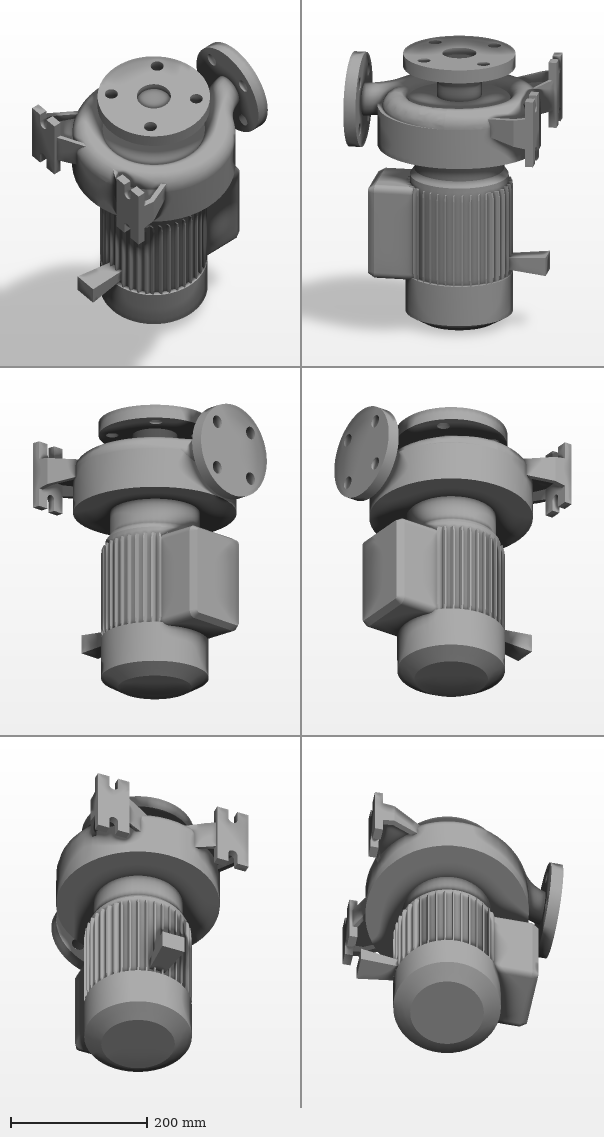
import cadquery as cq
import math


inlet_face_z = 80.0
inlet_flange_dia = 165.0
inlet_flange_thickness = 20.0
inlet_bolt_circle_dia = 125.0
inlet_bolt_hole_dia = 19.0
inlet_pipe_dia = 66.0
inlet_bore_dia = 50.0
inlet_bore_depth = 10.0

discharge_face_y = 160.0
discharge_flange_dia = 140.0
discharge_flange_thickness = 18.0
discharge_bolt_circle_dia = 100.0
discharge_bolt_hole_dia = 19.0

flange_bolt_count = 4
first_bolt_angle = 45.0

casing_radius = 120.0
casing_bottom_z = -60.0
volute_tube_radius = 24.0
volute_ring_radius = casing_radius - volute_tube_radius
front_cover_radius = 75.0
front_cover_slope = 0.09
volute_start_angle = 180.0
volute_taper_end_angle = 60.0
volute_taper_end_radius = 18.3
volute_taper_sections = 5

bend_radius = (discharge_face_y**2 - volute_ring_radius**2) / (2 * volute_ring_radius)
bend_angle = math.degrees(math.atan2(discharge_face_y, bend_radius))

neck_radius = 66.0
shoulder_top_z = -96.5
shoulder_bottom_z = -105.5
motor_core_radius = 72.5
motor_outer_radius = 79.0
fins_top_z = -116.0
fins_bottom_z = -255.0
fan_cover_cone_z = -315.5
motor_bottom_z = -330.0
motor_bottom_radius = 54.0
fin_thickness = 2.0
fin_end_length = 8.5
fin_end_inset = 1.3
fins_per_half_side = 5
fin_angle_step = 9.0

box_width = 100.0
box_top_z = -117.0
box_bottom_z = -260.0
box_outer_y = 128.0
box_inner_y = 50.0
box_corner_radius = 10.0
box_rim_depth = 10.0
box_rim_inset = 6.0

foot_bottom_y = -132.0
foot_plate_thickness = 12.0
foot_plate_width = 50.0
foot_plate_height = 100.0
foot_slot_width = 14.0
foot_slot_length = 23.0
foot_top_y = foot_bottom_y + foot_plate_thickness
foot_outer_x = casing_radius
foot_inner_x = foot_outer_x - foot_plate_width
rib_half_height = 23.0
rib_height_slope = 10.0 / 60.0
outer_rib_width = 8.0
outer_rib_bend_y = -103.0
outer_rib_end = (90.0, -42.0)
inner_rib_width = 7.0
inner_rib_end_x = 18.0
inner_rib_angle = 29.0
web_half_thickness = 6.0

block_width = 35.0
block_height = 28.0
block_center_z = -236.5
block_draft_angle = 5.0
block_inner_y = -70.0


def disc(radius, bottom_z, top_z):
    return cq.Workplane("XY").workplane(offset=bottom_z).circle(radius).extrude(top_z - bottom_z)


def turned(profile):
    """Solid of revolution about Z from (radius, z) points."""
    return cq.Workplane("XZ").polyline(profile).close().revolve(360, (0, 0), (0, 1))


def flange(diameter, thickness, bolt_circle_dia, bolt_hole_dia):
    """Drilled flange with its face on the XY plane and its body below."""
    return (
        cq.Workplane("XY")
        .circle(diameter / 2)
        .polarArray(bolt_circle_dia / 2, first_bolt_angle, 360, flange_bolt_count)
        .circle(bolt_hole_dia / 2)
        .extrude(-thickness)
    )


def make_inlet():
    inlet_flange = flange(
        inlet_flange_dia, inlet_flange_thickness, inlet_bolt_circle_dia, inlet_bolt_hole_dia
    ).translate((0, 0, inlet_face_z))
    pipe = disc(inlet_pipe_dia / 2, 0, inlet_face_z)
    bore = disc(inlet_bore_dia / 2, inlet_face_z - inlet_bore_depth, inlet_face_z)
    return inlet_flange.union(pipe).cut(bore)


def make_casing_body():
    """Casing drum whose shallow conical front cover meets the volute tube."""
    cover_edge_z = math.sqrt(volute_tube_radius**2 - (volute_ring_radius - front_cover_radius) ** 2)
    cover_apex_z = cover_edge_z + front_cover_slope * front_cover_radius
    cover = turned(
        [(0, 0), (front_cover_radius, 0), (front_cover_radius, cover_edge_z), (0, cover_apex_z)]
    )
    return disc(casing_radius, casing_bottom_z, 0).union(cover)


def make_volute_ring():
    """Constant-section part of the volute, up to the start of the bend."""
    return (
        cq.Workplane("XZ")
        .center(-volute_ring_radius, 0)
        .circle(volute_tube_radius)
        .revolve(volute_start_angle + bend_angle, (volute_ring_radius, 0), (volute_ring_radius, 1))
    )


def make_volute_taper():
    """Shrinking part of the volute; it keeps its inner edge and ends inside the bend."""
    inner_edge_radius = volute_ring_radius - volute_tube_radius
    wires = []
    for i in range(volute_taper_sections):
        fraction = i / (volute_taper_sections - 1)
        tube_radius = volute_tube_radius + fraction * (volute_taper_end_radius - volute_tube_radius)
        angle = volute_start_angle + fraction * (volute_taper_end_angle - volute_start_angle)
        x = math.cos(math.radians(angle))
        y = math.sin(math.radians(angle))
        ring_radius = inner_edge_radius + tube_radius
        center = cq.Vector(ring_radius * x, ring_radius * y, 0)
        wires.append(cq.Wire.makeCircle(tube_radius, center, cq.Vector(-y, x, 0)))
    return cq.Workplane(cq.Solid.makeLoft(wires))


def make_discharge():
    bend = (
        cq.Workplane("XZ", origin=(0, discharge_face_y, 0))
        .circle(volute_tube_radius)
        .revolve(bend_angle, (bend_radius, 0), (bend_radius, 1))
    )
    discharge_flange = (
        flange(
            discharge_flange_dia,
            discharge_flange_thickness,
            discharge_bolt_circle_dia,
            discharge_bolt_hole_dia,
        )
        .rotate((0, 0, 0), (1, 0, 0), -90)
        .translate((0, discharge_face_y, 0))
    )
    return bend.union(discharge_flange)


def make_foot():
    """Slotted plate on the +X side, joined to the casing by two ribs and a web."""
    plate_center_x = foot_outer_x - foot_plate_width / 2
    plate = cq.Workplane("XY").box(foot_plate_width, foot_plate_thickness, foot_plate_height)
    plate = plate.translate((plate_center_x, foot_bottom_y + foot_plate_thickness / 2, 0))
    for side in (1, -1):
        edge_z = side * foot_plate_height / 2
        slot = (
            cq.Workplane("XZ", origin=(plate_center_x, foot_top_y, edge_z))
            .slot2D(2 * foot_slot_length, foot_slot_width, 90)
            .extrude(foot_plate_thickness)
        )
        plate = plate.cut(slot)

    end_x, end_y = outer_rib_end
    outer_rib = [
        (foot_outer_x, foot_top_y),
        (foot_outer_x, outer_rib_bend_y),
        (end_x, end_y),
        (end_x - outer_rib_width, end_y),
        (foot_outer_x - outer_rib_width, outer_rib_bend_y),
        (foot_outer_x - outer_rib_width, foot_top_y),
    ]
    inner_rib_end_y = foot_top_y + (foot_inner_x - inner_rib_end_x) * math.tan(math.radians(inner_rib_angle))
    inner_rib = [
        (foot_inner_x, foot_top_y),
        (inner_rib_end_x, inner_rib_end_y),
        (inner_rib_end_x, inner_rib_end_y - inner_rib_width),
        (foot_inner_x, foot_top_y - inner_rib_width),
    ]
    web = outer_rib[:3] + inner_rib[1::-1]

    def slab(points, half_height):
        return cq.Workplane("XY").polyline(points).close().extrude(half_height, both=True)

    ribs = slab(outer_rib, rib_half_height).union(slab(inner_rib, rib_half_height))
    end_half_height = rib_half_height - rib_height_slope * (end_y - foot_top_y)
    wedge = (
        cq.Workplane("YZ")
        .polyline(
            [
                (foot_bottom_y, rib_half_height),
                (foot_top_y, rib_half_height),
                (end_y, end_half_height),
                (end_y, -end_half_height),
                (foot_top_y, -rib_half_height),
                (foot_bottom_y, -rib_half_height),
            ]
        )
        .close()
        .extrude(foot_outer_x)
    )
    return plate.union(ribs.union(slab(web, web_half_thickness)).intersect(wedge))


def make_motor_body():
    """Neck, conical shoulder, finned core and fan cover as one turned solid."""
    return turned(
        [
            (0, casing_bottom_z),
            (neck_radius, casing_bottom_z),
            (neck_radius, shoulder_top_z),
            (motor_core_radius, shoulder_bottom_z),
            (motor_core_radius, fins_bottom_z),
            (motor_outer_radius, fins_bottom_z),
            (motor_outer_radius, fan_cover_cone_z),
            (motor_bottom_radius, motor_bottom_z),
            (0, motor_bottom_z),
        ]
    )


def make_fins():
    """Thin plates parallel to X and to Y, trimmed to a barrel with slightly tapered ends."""
    fin_length = fins_top_z - fins_bottom_z
    fin_mid_z = (fins_top_z + fins_bottom_z) / 2
    diameter = 2 * motor_outer_radius
    positions = []
    for i in range(fins_per_half_side):
        offset = motor_outer_radius * math.sin(math.radians((i + 0.5) * fin_angle_step))
        positions += [(0, offset), (0, -offset)]
    grid = (
        cq.Workplane("XY", origin=(0, 0, fin_mid_z))
        .pushPoints(positions)
        .box(diameter, fin_thickness, fin_length)
    )
    grid = grid.union(grid.rotate((0, 0, 0), (0, 0, 1), 90))
    fin_end_radius = motor_outer_radius - fin_end_inset
    barrel = turned(
        [
            (0, fins_top_z),
            (fin_end_radius, fins_top_z),
            (motor_outer_radius, fins_top_z - fin_end_length),
            (motor_outer_radius, fins_bottom_z + fin_end_length),
            (fin_end_radius, fins_bottom_z),
            (0, fins_bottom_z),
        ]
    )
    return grid.intersect(barrel)


def make_terminal_box():
    """Box with rounded long edges and a bevelled rim around its outer face."""
    mid_z = (box_top_z + box_bottom_z) / 2
    rim_y = box_outer_y - box_rim_depth
    rim_angle = math.degrees(math.atan2(box_rim_inset, box_rim_depth))

    def section(y):
        outline = cq.Sketch().rect(box_width, box_top_z - box_bottom_z).vertices().fillet(box_corner_radius)
        return cq.Workplane("XZ", origin=(0, y, mid_z)).placeSketch(outline)

    body = section(rim_y).extrude(rim_y - box_inner_y)
    rim = section(rim_y).extrude(-box_rim_depth, taper=rim_angle)
    return body.union(rim)


def make_support_block():
    length = block_inner_y - foot_bottom_y
    return (
        cq.Workplane("XZ", origin=(0, foot_bottom_y, block_center_z))
        .rect(block_width, block_height)
        .extrude(-length, taper=block_draft_angle)
    )


foot = make_foot()
result = make_casing_body()
for feature in (
    make_volute_ring(),
    make_volute_taper(),
    make_discharge(),
    make_inlet(),
    foot,
    foot.mirror("YZ"),
    make_motor_body(),
    make_fins(),
    make_terminal_box(),
    make_support_block(),
):
    result = result.union(feature)